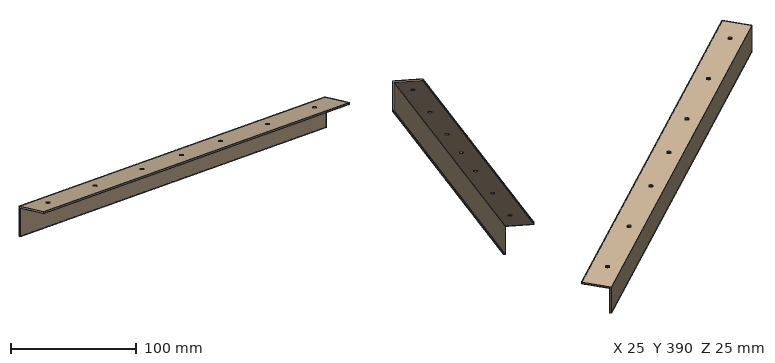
import cadquery as cq

leg_width = 25.0
length = 390.0
thickness = 1.5

hole_diameter = 3.2
hole_x = 11.5
first_hole_y = 22.5
middle_pitch = 50.0
outer_pitch = 60.0
hole_pitches = [outer_pitch, outer_pitch, middle_pitch, middle_pitch, outer_pitch, outer_pitch]


def angle_strip():
    """L section with its outer corner along the top -X edge."""
    top_leg = cq.Workplane("XY").box(leg_width, length, thickness, centered=False)
    top_leg = top_leg.translate((0, 0, leg_width - thickness))
    upright_leg = cq.Workplane("XY").box(thickness, length, leg_width, centered=False)
    return top_leg.union(upright_leg)


def hole_points():
    """Hole centres, stepping along Y from the first hole."""
    y = first_hole_y
    points = [(hole_x, y)]
    for pitch in hole_pitches:
        y += pitch
        points.append((hole_x, y))
    return points


def screw_holes():
    """Cylinders that pass through the top leg."""
    leg_underside = cq.Workplane("XY").workplane(offset=leg_width - thickness)
    return leg_underside.pushPoints(hole_points()).circle(hole_diameter / 2).extrude(thickness)


result = angle_strip().cut(screw_holes())